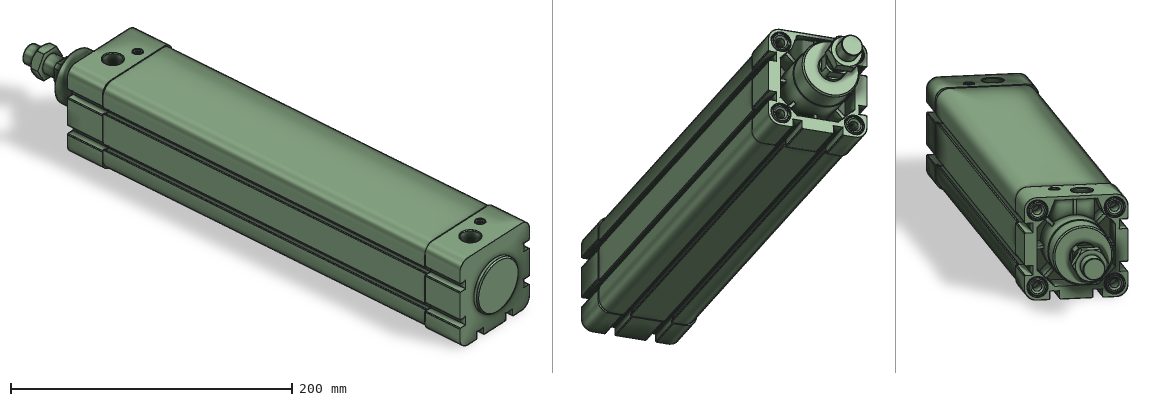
import cadquery as cq
import math

total_length = 444.0

thread_dia = 16.0
thread_tip_dia = 15.0
thread_chamfer_length = 0.5
thread_length = 30.0
rod_dia = 20.0
wrench_width = 17.0
wrench_end_x = 38.5
nut_start_x = 11.0
nut_thickness = 8.0
nut_width = 23.0

collar_start_x = 41.7
collar_step_x = 59.0
collar_dia = 45.0
collar_nose_dia = 43.5
collar_chamfer = 1.1

cap_width = 75.0
cap_length = 33.5
cap_corner_radius = 9.0
front_cap_x = 68.5
rear_boss_length = 3.5
barrel_width = 73.5
barrel_corner_radius = 9.8

groove_offset = 15.5
groove_depth = 6.0
cap_groove_width = 7.0
barrel_groove_width = 5.5
barrel_groove_inner_width = 8.5
barrel_groove_lip = 1.5
groove_lip_chamfer = 0.65

recess_depth = 20.0
recess_half_width = 28.5
recess_bottom = 28.0
recess_top = 35.0
recess_corner = 15.5
recess_neck_y = 20.0
recess_neck_z = 24.0
web_setback = 4.5
straight_web_thickness = 2.0
diagonal_web_thickness = 2.5
port_block_half_width = 15.5
port_block_radius = 8.0
port_block_setback = 5.8

screw_pitch = 56.0
screw_pocket_dia = 15.0
screw_head_dia = 13.5
screw_head_front_dia = 12.0
screw_pocket_depth = 1.5
screw_mouth_dia = 9.8
screw_bore_dia = 6.5
screw_bore_depth = 13.5

port_dia = 15.0
port_mouth_dia = 16.5
port_depth = 13.5
port_y = -7.33
cushion_y = 11.3
cushion_inset = 7.0
cushion_hole_dia = 8.0
cushion_screw_dia = 6.0
cushion_slot_dia = 4.0
cushion_slot_depth = 1.8
cushion_hole_depth = 6.5
cushion_rise = 0.5

front_cap_end_x = front_cap_x + cap_length
rear_cap_end_x = total_length - rear_boss_length
rear_cap_x = rear_cap_end_x - cap_length
barrel_length = rear_cap_x - front_cap_end_x
recess_floor_x = front_cap_x + recess_depth
rod_end_x = front_cap_end_x
cap_half = cap_width / 2


def disc(x, length, diameter, y=0.0, z=0.0):
    """Cylinder along +X that starts at x."""
    return cq.Workplane("YZ", origin=(x, y, z)).circle(diameter / 2).extrude(length)


def cone(x, length, start_dia, end_dia, y=0.0, z=0.0):
    """Truncated cone along +X between two diameters."""
    return cq.Workplane(cq.Solid.makeCone(
        start_dia / 2, end_dia / 2, length, cq.Vector(x, y, z), cq.Vector(1, 0, 0)))


def vertical_disc(x, y, z, height, diameter):
    """Cylinder along +Z that starts at z."""
    return cq.Workplane("XY", origin=(x, y, z)).circle(diameter / 2).extrude(height)


def cap_groove_cutter(x):
    """Straight groove in the bottom side of a cap, with a bevelled mouth."""
    half = cap_groove_width / 2
    mouth = half + groove_lip_chamfer
    bevel_top = groove_lip_chamfer - cap_half
    floor = groove_depth - cap_half
    return (
        cq.Workplane("YZ", origin=(x, 0, 0))
        .polyline([
            (-mouth, -cap_half),
            (-half, bevel_top),
            (-half, floor),
            (half, floor),
            (half, bevel_top),
            (mouth, -cap_half),
        ])
        .close()
        .extrude(cap_length)
    )


def barrel_groove_cutter():
    """T-shaped groove in the bottom side of the barrel."""
    mouth = barrel_groove_width / 2
    inner = barrel_groove_inner_width / 2
    outer_face = -barrel_width / 2
    lip = outer_face + barrel_groove_lip
    floor = outer_face + groove_depth
    return (
        cq.Workplane("YZ", origin=(front_cap_end_x, 0, 0))
        .polyline([
            (-mouth, outer_face),
            (-mouth, lip),
            (-inner, lip),
            (-inner, floor),
            (inner, floor),
            (inner, lip),
            (mouth, lip),
            (mouth, outer_face),
        ])
        .close()
        .extrude(barrel_length)
    )


def grooved_block(x, length, width, corner_radius, groove):
    """Rounded square bar with two grooves in each side except the top."""
    block = (
        cq.Workplane("YZ", origin=(x, 0, 0))
        .rect(width, width)
        .extrude(length)
        .edges("|X")
        .fillet(corner_radius)
    )
    for turn in (-90, 0, 90):
        for offset in (-groove_offset, groove_offset):
            cutter = groove.translate((0, offset, 0)).rotate((0, 0, 0), (1, 0, 0), turn)
            block = block.cut(cutter)
    return block


def recess_cutter():
    """Pocket in the front cap that leaves the four corner pillars."""
    half_outline = [
        (recess_corner, -recess_bottom),
        (recess_half_width, -recess_corner),
        (recess_half_width, recess_corner),
        (recess_neck_y, recess_neck_z),
        (recess_corner, recess_top),
    ]
    mirrored = [(-y, z) for y, z in reversed(half_outline)]
    return (
        cq.Workplane("YZ", origin=(front_cap_x, 0, 0))
        .polyline(half_outline + mirrored)
        .close()
        .extrude(recess_depth)
    )


def recess_webs():
    """Eight radial webs from the collar to the recess wall."""
    web_length = recess_depth - web_setback
    webs = cq.Workplane("YZ")
    for index in range(8):
        thickness = diagonal_web_thickness if index % 2 else straight_web_thickness
        web = (
            cq.Workplane("YZ", origin=(front_cap_x + web_setback, 0, 0))
            .center(cap_half / 2, 0)
            .rect(cap_half, thickness)
            .extrude(web_length)
            .rotate((0, 0, 0), (1, 0, 0), 45 * index)
        )
        webs = webs.add(web)
    return webs.combine().intersect(recess_cutter())


def port_block():
    """Round-cornered block in the recess that carries the port and cushion screw."""
    block_length = recess_depth - port_block_setback
    return (
        cq.Workplane("XY", origin=(front_cap_x + port_block_setback, 0, 0))
        .center(block_length / 2, 0)
        .rect(block_length, 2 * port_block_half_width)
        .extrude(recess_top)
        .edges("|Z and <X")
        .fillet(port_block_radius)
    )


def collar():
    """Stepped guide collar with a chamfered front edge."""
    nose = disc(collar_start_x, collar_step_x - collar_start_x, collar_nose_dia)
    nose = nose.faces("<X").chamfer(collar_chamfer)
    return nose.union(disc(collar_step_x, recess_floor_x - collar_step_x, collar_dia))


def rear_boss():
    boss = disc(rear_cap_end_x, rear_boss_length, collar_dia)
    return boss.faces(">X").chamfer(collar_chamfer)


def add_corner_screw(body, y, z):
    """Sunk socket screw: ring gap, bevelled head and blind bore."""
    mouth_depth = (screw_mouth_dia - screw_bore_dia) / 2
    body = body.cut(disc(front_cap_x, screw_pocket_depth, screw_pocket_dia, y, z))
    body = body.union(
        cone(front_cap_x, screw_pocket_depth, screw_head_front_dia, screw_head_dia, y, z))
    body = body.cut(disc(front_cap_x, screw_bore_depth, screw_bore_dia, y, z))
    return body.cut(cone(front_cap_x, mouth_depth, screw_mouth_dia, screw_bore_dia, y, z))


def add_port_and_cushion(body, port_x, cushion_x):
    """Blind air port and a cushion screw standing in its own hole."""
    body = body.cut(vertical_disc(port_x, port_y, cap_half - port_depth, port_depth, port_dia))
    bevel = (port_mouth_dia - port_dia) / 2
    body = body.cut(cq.Workplane(cq.Solid.makeCone(
        port_dia / 2, port_mouth_dia / 2, bevel, cq.Vector(port_x, port_y, cap_half - bevel))))
    hole_floor = cap_half - cushion_hole_depth
    body = body.cut(
        vertical_disc(cushion_x, cushion_y, hole_floor, cushion_hole_depth, cushion_hole_dia))
    screw_height = cushion_hole_depth + cushion_rise
    screw = vertical_disc(cushion_x, cushion_y, hole_floor, screw_height, cushion_screw_dia)
    slot_floor = hole_floor + screw_height - cushion_slot_depth
    socket = vertical_disc(cushion_x, cushion_y, slot_floor, cushion_slot_depth, cushion_slot_dia)
    return body.union(screw.cut(socket))


def make_housing():
    body = grooved_block(front_cap_end_x, barrel_length, barrel_width,
                         barrel_corner_radius, barrel_groove_cutter())
    for cap_x in (front_cap_x, rear_cap_x):
        cap = grooved_block(cap_x, cap_length, cap_width, cap_corner_radius,
                            cap_groove_cutter(cap_x))
        body = body.union(cap)

    body = body.cut(recess_cutter())
    body = body.union(recess_webs()).union(port_block()).union(collar()).union(rear_boss())

    for y in (-screw_pitch / 2, screw_pitch / 2):
        for z in (-screw_pitch / 2, screw_pitch / 2):
            body = add_corner_screw(body, y, z)

    front_port_x = front_cap_x + cap_length / 2
    rear_port_x = rear_cap_x + cap_length / 2
    body = add_port_and_cushion(body, front_port_x, front_port_x + cushion_inset)
    body = add_port_and_cushion(body, rear_port_x, rear_port_x - cushion_inset)

    return body.cut(disc(collar_start_x, rod_end_x - collar_start_x, rod_dia))


def make_nut():
    """Hexagon nut, corners toward +Y and -Y, front corners bevelled."""
    corner_dia = nut_width / math.cos(math.radians(30))
    hexagon = (
        cq.Workplane("YZ", origin=(nut_start_x, 0, 0))
        .polygon(6, corner_dia)
        .extrude(nut_thickness)
    )
    bevel_cone = cone(nut_start_x, nut_thickness, nut_width, nut_width + 2 * nut_thickness)
    return hexagon.intersect(bevel_cone)


def make_rod():
    tip = cone(0, thread_chamfer_length, thread_tip_dia, thread_dia)
    thread = disc(thread_chamfer_length, thread_length - thread_chamfer_length, thread_dia)
    wrench_length = wrench_end_x - thread_length
    square = (
        cq.Workplane("YZ", origin=(thread_length, 0, 0))
        .rect(wrench_width, wrench_width)
        .extrude(wrench_length)
        .intersect(disc(thread_length, wrench_length, rod_dia))
    )
    shank = disc(wrench_end_x, rod_end_x - wrench_end_x, rod_dia)
    return tip.union(thread).union(square).union(shank).union(make_nut())


housing = make_housing()
rod = make_rod()

result = cq.Compound.makeCompound([housing.val(), rod.val()])